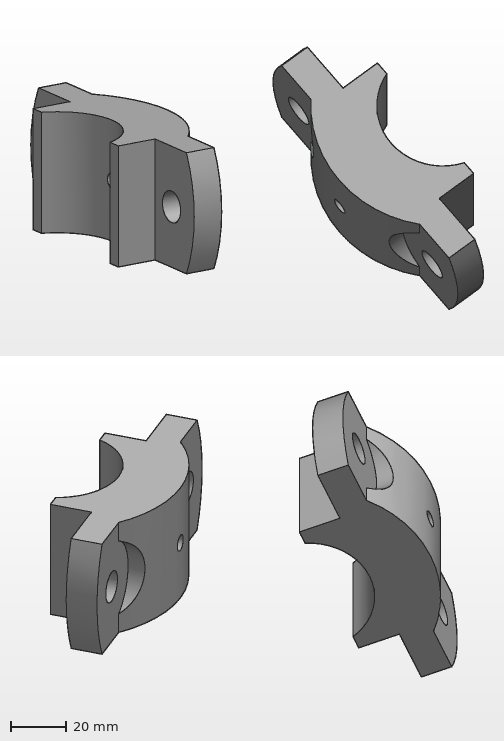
import cadquery as cq
import math

length = 108.0
height = 46.0
flange_thickness = 12.0
boss_width = 56.2
boss_depth = 16.0
bore_radius = 24.0
dome_radius = 2 * bore_radius
bolt_spacing = 78.0
bolt_hole_diameter = 12.0
spotface_radius = 16.8
oil_hole_diameter = 6.0

axis_y = -bore_radius
dome_top_y = axis_y + dome_radius
dome_half_width = math.sqrt(dome_radius**2 - (flange_thickness - axis_y) ** 2)


def y_cylinder(radius, start_y, end_y, x=0):
    """Cylinder along +Y between two Y positions."""
    return cq.Workplane("XZ", origin=(x, start_y, 0)).circle(radius).extrude(start_y - end_y)


half_length = length / 2
half_boss = boss_width / 2
body = (
    cq.Workplane("XY", origin=(0, 0, -height / 2))
    .moveTo(-half_length, 0)
    .lineTo(-half_length, flange_thickness)
    .lineTo(-dome_half_width, flange_thickness)
    .threePointArc((0, dome_top_y), (dome_half_width, flange_thickness))
    .lineTo(half_length, flange_thickness)
    .lineTo(half_length, 0)
    .lineTo(half_boss, 0)
    .lineTo(half_boss, -boss_depth)
    .lineTo(-half_boss, -boss_depth)
    .lineTo(-half_boss, 0)
    .close()
    .extrude(height)
)

body = body.intersect(y_cylinder(half_length, -boss_depth, dome_top_y))

bore = cq.Workplane("XY", origin=(0, axis_y, -height / 2)).circle(bore_radius).extrude(height)
body = body.cut(bore)

for bolt_x in (-bolt_spacing / 2, bolt_spacing / 2):
    body = body.cut(y_cylinder(bolt_hole_diameter / 2, 0, flange_thickness, bolt_x))
    body = body.cut(y_cylinder(spotface_radius, flange_thickness, dome_top_y, bolt_x))

body = body.cut(y_cylinder(oil_hole_diameter / 2, -boss_depth, dome_top_y))

result = body